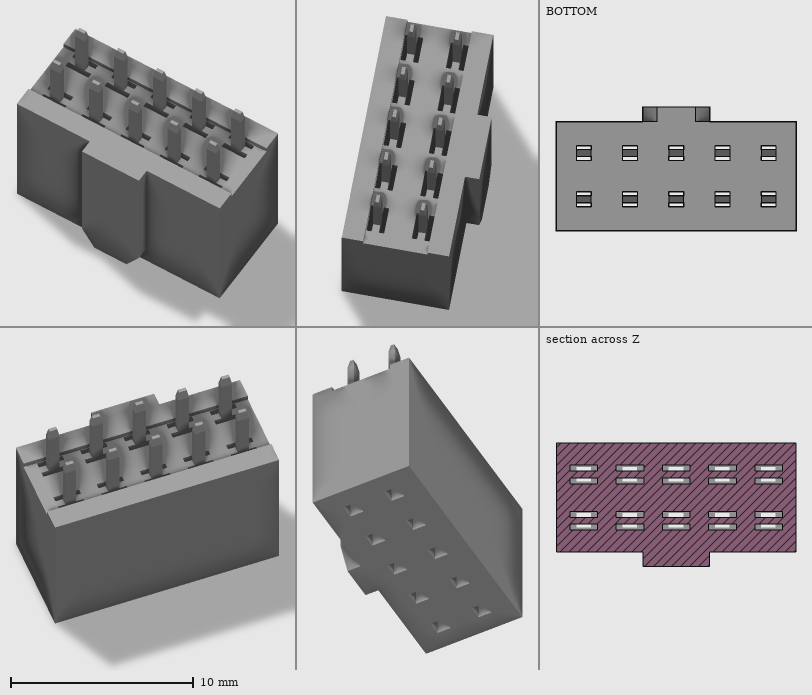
import cadquery as cq

body_length = 13.2
body_width = 6.0
body_height = 8.5

rim_width = 1.2
channel_depth = 0.3
channel_floor = body_height - channel_depth

key_width = 3.7
key_projection = 0.8
key_tip_width = 2.1
key_taper_height = 1.2

pitch = 2.54
columns = 5
rows = 2

pin_width = 0.64
pin_thickness = 0.4
pin_top = 11.5
tip_height = 0.55
tip_width = 0.44
tip_thickness = 0.2

slot_length = 1.5
slot_width = 0.3
slot_floor = body_height / 2
slot_offset = (pin_thickness + slot_width) / 2
socket_size = 0.8


def upright_box(length, width, bottom, top):
    """Box centred on the Z axis between two heights."""
    return cq.Workplane("XY").workplane(offset=bottom).rect(length, width).extrude(top - bottom)


def make_housing():
    block = upright_box(body_length, body_width, 0, body_height)
    channel = upright_box(body_length, body_width - 2 * rim_width, channel_floor, body_height)
    return block.cut(channel)


def make_key():
    """Full-height key whose lower corners taper inward."""
    front_face = -body_width / 2
    return (
        cq.Workplane("XZ", origin=(0, front_face, 0))
        .moveTo(-key_tip_width / 2, 0)
        .lineTo(key_tip_width / 2, 0)
        .lineTo(key_width / 2, key_taper_height)
        .lineTo(key_width / 2, body_height)
        .lineTo(-key_width / 2, body_height)
        .lineTo(-key_width / 2, key_taper_height)
        .close()
        .extrude(key_projection)
    )


def make_cavity():
    """Two slots from above and the square socket from below."""
    slot = upright_box(slot_length, slot_width, slot_floor, channel_floor)
    socket = upright_box(socket_size, socket_size, 0, slot_floor)
    back_slot = slot.translate((0, slot_offset, 0))
    front_slot = slot.translate((0, -slot_offset, 0))
    return socket.union(back_slot).union(front_slot)


def make_pin():
    """Rectangular pin rising from the web, with a tapered tip."""
    shoulder = pin_top - tip_height
    shank = upright_box(pin_width, pin_thickness, slot_floor, shoulder)
    tip = (
        cq.Workplane("XY")
        .workplane(offset=shoulder)
        .rect(pin_width, pin_thickness)
        .workplane(offset=tip_height)
        .rect(tip_width, tip_thickness)
        .loft(combine=True)
    )
    return shank.union(tip)


contact_positions = [
    ((column - (columns - 1) / 2) * pitch, (row - (rows - 1) / 2) * pitch, 0)
    for column in range(columns)
    for row in range(rows)
]

part = make_housing().union(make_key())
cavity = make_cavity()
pin = make_pin()
for position in contact_positions:
    part = part.cut(cavity.translate(position))
    part = part.union(pin.translate(position))

result = part